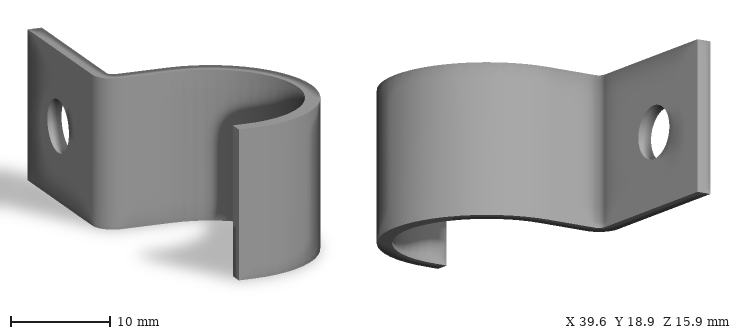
import cadquery as cq

length = 39.6
depth = 18.95
width = 15.88

thickness = 1.55
loop_radius = 11.1
bend_inner_radius = 0.7
bend_outer_radius = bend_inner_radius + thickness
tail_length = 1.55

hole_diameter = 5.6
hole_from_end = 7.9

loop_x = length - loop_radius
loop_y = depth - loop_radius
leg_outer_x = loop_x - loop_radius
leg_inner_x = leg_outer_x + thickness
tail_inner_x = length - thickness
tail_y = loop_y - tail_length
bend_x = leg_inner_x - bend_outer_radius
bend_y = bend_outer_radius


def make_strip():
    """Flat foot, bend, upright leg, half-round loop and short tail as one bent strip."""
    diagonal = 0.5 ** 0.5
    bend_outer_mid = (bend_x + bend_outer_radius * diagonal, bend_y - bend_outer_radius * diagonal)
    bend_inner_mid = (bend_x + bend_inner_radius * diagonal, bend_y - bend_inner_radius * diagonal)
    return (
        cq.Workplane("XY")
        .lineTo(bend_x, 0)
        .threePointArc(bend_outer_mid, (leg_inner_x, bend_y))
        .lineTo(leg_inner_x, loop_y)
        .threePointArc((loop_x, depth - thickness), (tail_inner_x, loop_y))
        .lineTo(tail_inner_x, tail_y)
        .lineTo(length, tail_y)
        .lineTo(length, loop_y)
        .threePointArc((loop_x, depth), (leg_outer_x, loop_y))
        .lineTo(leg_outer_x, bend_y)
        .threePointArc(bend_inner_mid, (bend_x, thickness))
        .lineTo(0, thickness)
        .close()
        .extrude(width)
    )


def make_mounting_hole():
    """Cylinder that passes through the thickness of the foot, centred across its width."""
    return (
        cq.Workplane("XZ")
        .center(hole_from_end, width / 2)
        .circle(hole_diameter / 2)
        .extrude(-thickness)
    )


result = make_strip().cut(make_mounting_hole())